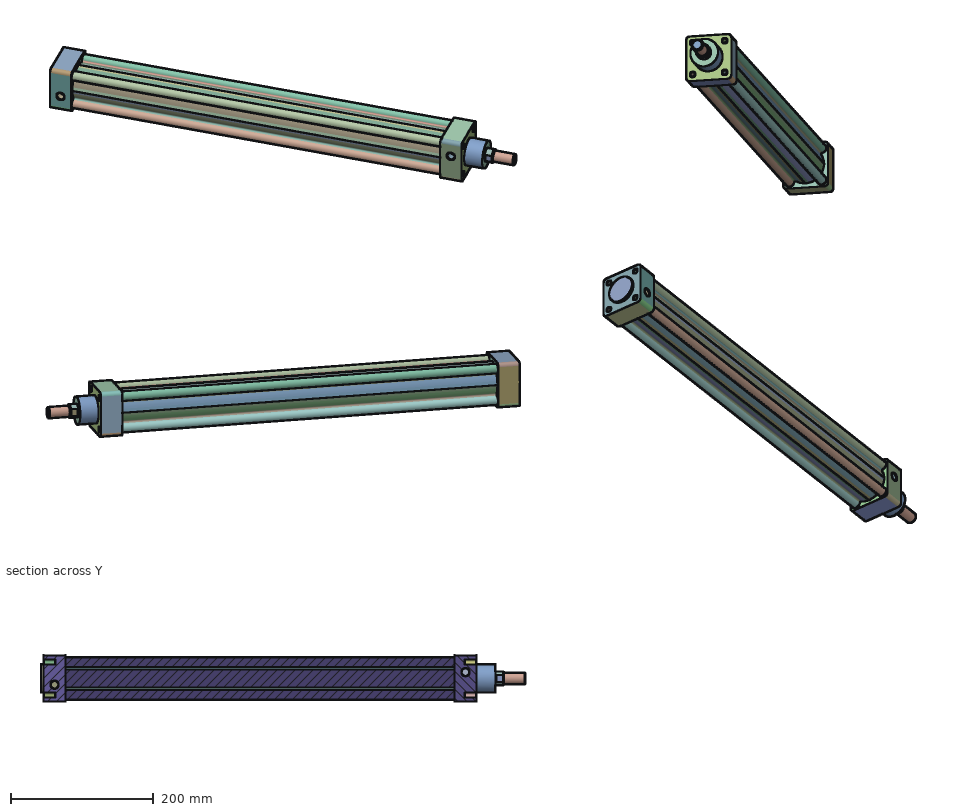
import cadquery as cq
import math

TOTAL_LENGTH = 679.0

CAP_SIZE = 65.0
CAP_LENGTH = 31.0
CAP_CORNER_RADIUS = 5.5
REAR_BOSS_LENGTH = 3.5
BOSS_DIAMETER = 40.0
NOSE_LENGTH = 26.5
SCREW_SPACING = 46.0
SCREW_HOLE_DIAMETER = 7.0
SCREW_HOLE_DEPTH = 16.0
PORT_DIAMETER = 11.0
PORT_DEPTH = 13.5
PORT_OFFSET = 9.0
ENTRY_CHAMFER = 1.0
ENTRY_CONE_ANGLE = 90

BARREL_LENGTH = 544.5
BODY_RADIUS = 26.5
LOBE_RADIUS = 7.0
LOBE_FILLET = 2.0
RIDGE_HALF_WIDTH = 5.1
RIDGE_HEIGHT = 1.0

ROD_DIAMETER = 20.0
STUD_DIAMETER = 16.0
SHOULDER_LENGTH = 12.0
SHOULDER_CHAMFER = 1.7
STUD_CHAMFER = 1.5
FLAT_WIDTH = 17.0
FLAT_GAP = 1.5

REAR_CAP_X = REAR_BOSS_LENGTH
BARREL_X = REAR_CAP_X + CAP_LENGTH
FRONT_CAP_X = BARREL_X + BARREL_LENGTH
NOSE_X = FRONT_CAP_X + CAP_LENGTH
NOSE_END_X = NOSE_X + NOSE_LENGTH
STUD_X = NOSE_END_X + SHOULDER_LENGTH


def plane_at(x):
    """Plane square to the axis: local X is +Z, local Y is -Y, extrusion runs toward +X."""
    return cq.Workplane(cq.Plane(origin=(x, 0, 0), xDir=(0, 0, 1), normal=(1, 0, 0)))


def cylinder_between(x_start, x_end, diameter):
    return plane_at(x_start).circle(diameter / 2).extrude(x_end - x_start)


def make_cap(x_start, boss_start, boss_end, screw_face, port_z):
    """Square cap with a round boss, four blind screw holes and a blind air port in its -Y side."""
    block = plane_at(x_start).rect(CAP_SIZE, CAP_SIZE).extrude(CAP_LENGTH)
    block = block.edges("|X").fillet(CAP_CORNER_RADIUS)

    block = block.faces(screw_face).workplane(centerOption="CenterOfBoundBox")
    block = block.rect(SCREW_SPACING, SCREW_SPACING, forConstruction=True).vertices()
    screw_mouth = SCREW_HOLE_DIAMETER + 2 * ENTRY_CHAMFER
    block = block.cskHole(SCREW_HOLE_DIAMETER, screw_mouth, ENTRY_CONE_ANGLE, SCREW_HOLE_DEPTH)

    port = cq.Workplane("XZ", origin=(x_start + CAP_LENGTH / 2, -CAP_SIZE / 2, port_z))
    port_mouth = PORT_DIAMETER + 2 * ENTRY_CHAMFER
    block = block.cut(port.circle(PORT_DIAMETER / 2).extrude(-PORT_DEPTH))
    block = block.cut(port.circle(port_mouth / 2).extrude(-ENTRY_CHAMFER, taper=ENTRY_CONE_ANGLE / 2))

    return block.union(cylinder_between(boss_start, boss_end, BOSS_DIAMETER))


def make_rear_cap():
    return make_cap(REAR_CAP_X, 0, REAR_CAP_X, "<X", -PORT_OFFSET)


def make_front_cap():
    return make_cap(FRONT_CAP_X, NOSE_X, NOSE_END_X, ">X", PORT_OFFSET)


def is_lobe_root(edge):
    """True for the edges where a lobe meets the round body, which lie well away from the Y and Z axes."""
    centre = edge.Center()
    away_from_axes = min(abs(centre.y), abs(centre.z)) > 2 * RIDGE_HALF_WIDTH
    return away_from_axes and math.hypot(centre.y, centre.z) < BODY_RADIUS + LOBE_FILLET


def make_barrel():
    """Solid extrusion with its lobes in line with the cap screws."""
    barrel = cylinder_between(BARREL_X, FRONT_CAP_X, 2 * BODY_RADIUS)
    lobes = plane_at(BARREL_X).rect(SCREW_SPACING, SCREW_SPACING, forConstruction=True).vertices()
    barrel = barrel.union(lobes.circle(LOBE_RADIUS).extrude(BARREL_LENGTH))
    barrel = barrel.edges("|X").filter(is_lobe_root).fillet(LOBE_FILLET)

    foot = math.sqrt(BODY_RADIUS**2 - RIDGE_HALF_WIDTH**2)
    ridge_points = [
        (0, 0),
        (foot, RIDGE_HALF_WIDTH),
        (foot + RIDGE_HEIGHT, 0),
        (foot, -RIDGE_HALF_WIDTH),
    ]
    ridge = plane_at(BARREL_X).polyline(ridge_points).close().extrude(BARREL_LENGTH)
    for side in range(4):
        barrel = barrel.union(ridge.rotate((0, 0, 0), (1, 0, 0), 90 * side))
    return barrel


def make_rod():
    """Stepped rod revolved about X, with two wrench flats facing -Y and +Y."""
    rod_radius = ROD_DIAMETER / 2
    stud_radius = STUD_DIAMETER / 2
    half_profile = [
        (NOSE_END_X, 0),
        (NOSE_END_X, -rod_radius),
        (STUD_X - SHOULDER_CHAMFER, -rod_radius),
        (STUD_X, -stud_radius),
        (TOTAL_LENGTH - STUD_CHAMFER, -stud_radius),
        (TOTAL_LENGTH, STUD_CHAMFER - stud_radius),
        (TOTAL_LENGTH, 0),
    ]
    rod = cq.Workplane("XY").polyline(half_profile).close().revolve(360, (0, 0, 0), (1, 0, 0))

    flat_start = NOSE_END_X + FLAT_GAP
    flat_length = STUD_X - SHOULDER_CHAMFER - flat_start
    outside = plane_at(flat_start).rect(BOSS_DIAMETER, BOSS_DIAMETER).rect(ROD_DIAMETER, FLAT_WIDTH)
    return rod.cut(outside.extrude(flat_length))


rear_cap = make_rear_cap().solids()
front_cap = make_front_cap().solids()
barrel = make_barrel().solids()
rod = make_rod().solids()

result = cq.Compound.makeCompound([rear_cap.val(), front_cap.val(), barrel.val(), rod.val()])